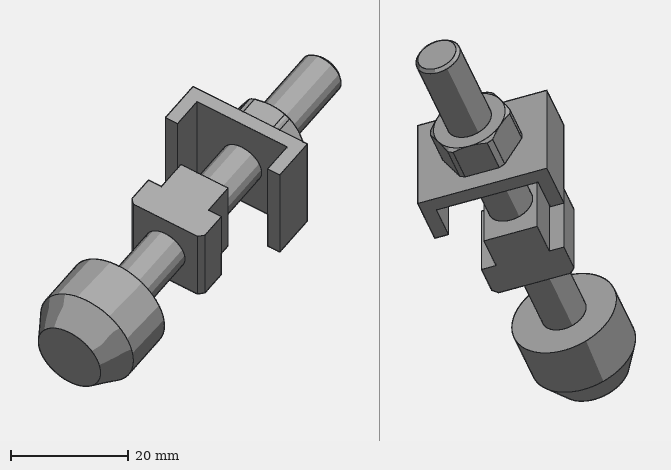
import cadquery as cq
import math

TOTAL_LENGTH = 78.0

ROD_DIAMETER = 8.0
ROD_END_CHAMFER = 0.55
HEAD_DIAMETER = 19.0
HEAD_TIP_DIAMETER = 12.8
HEAD_LENGTH = 15.0
NOSE_ANGLE = 30.0

BLOCK_WIDTH = 15.0
BLOCK_HEIGHT = BLOCK_WIDTH
BLOCK_LENGTH = 12.0
BLOCK_FRONT = 29.5
BLOCK_CHAMFER = 0.9
FLANGE_LENGTH = BLOCK_LENGTH / 2
NECK_WIDTH = 9.7

BRACKET_WIDTH = 23.5
BRACKET_HEIGHT = 20.0
BRACKET_DEPTH = 8.5
BRACKET_WALL = 2.5
BRACKET_FRONT = 47.0
BRACKET_BACK = BRACKET_FRONT + BRACKET_DEPTH

NUT_ACROSS_FLATS = 13.0
NUT_CORNER_DIAMETER = 14.4
NUT_THICKNESS = 6.4
NUT_CHAMFER_ANGLE = 30.0


def disc(diameter, start, length):
    """Cylinder on the Y axis, running from start toward +Y."""
    return cq.Workplane("XZ", origin=(0, start, 0)).circle(diameter / 2).extrude(-length)


def rod_bore():
    return disc(ROD_DIAMETER, 0, TOTAL_LENGTH)


def prism(points, height):
    """Outline in X and Y, extruded symmetrically in Z."""
    return cq.Workplane("XY").polyline(points).close().extrude(height / 2, both=True)


def make_stud():
    rod_radius = ROD_DIAMETER / 2
    head_radius = HEAD_DIAMETER / 2
    tip_radius = HEAD_TIP_DIAMETER / 2
    nose_length = (head_radius - tip_radius) / math.tan(math.radians(NOSE_ANGLE))
    half_profile = [
        (0, 0),
        (tip_radius, 0),
        (head_radius, nose_length),
        (head_radius, HEAD_LENGTH),
        (rod_radius, HEAD_LENGTH),
        (rod_radius, TOTAL_LENGTH - ROD_END_CHAMFER),
        (rod_radius - ROD_END_CHAMFER, TOTAL_LENGTH),
        (0, TOTAL_LENGTH),
    ]
    return cq.Workplane("XY").polyline(half_profile).close().revolve(360, (0, 0), (0, 1))


def make_block():
    half_width = BLOCK_WIDTH / 2
    half_neck = NECK_WIDTH / 2
    shoulder = BLOCK_FRONT + FLANGE_LENGTH
    back = BLOCK_FRONT + BLOCK_LENGTH
    right_side = [
        (half_width - BLOCK_CHAMFER, BLOCK_FRONT),
        (half_width, BLOCK_FRONT + BLOCK_CHAMFER),
        (half_width, shoulder),
        (half_neck, shoulder),
        (half_neck, back),
    ]
    left_side = [(-x, y) for x, y in reversed(right_side)]
    return prism(right_side + left_side, BLOCK_HEIGHT).cut(rod_bore())


def make_bracket():
    outer = BRACKET_WIDTH / 2
    inner = outer - BRACKET_WALL
    web_front = BRACKET_BACK - BRACKET_WALL
    right_side = [
        (inner, web_front),
        (inner, BRACKET_FRONT),
        (outer, BRACKET_FRONT),
        (outer, BRACKET_BACK),
    ]
    left_side = [(-x, y) for x, y in reversed(right_side)]
    return prism(right_side + left_side, BRACKET_HEIGHT).cut(rod_bore())


def make_nut():
    """Hexagon with corners toward +X and -X, turned down at its corners and chamfered at the free end."""
    sharp_corner_diameter = NUT_ACROSS_FLATS / math.cos(math.radians(30))
    hexagon = (
        cq.Workplane("XZ", origin=(0, BRACKET_BACK, 0))
        .polygon(6, sharp_corner_diameter)
        .extrude(-NUT_THICKNESS)
    )
    radial_chamfer = (NUT_CORNER_DIAMETER - NUT_ACROSS_FLATS) / 2
    axial_chamfer = radial_chamfer * math.tan(math.radians(NUT_CHAMFER_ANGLE))
    envelope = (
        disc(NUT_CORNER_DIAMETER, BRACKET_BACK, NUT_THICKNESS)
        .faces(">Y")
        .chamfer(axial_chamfer, radial_chamfer)
    )
    return hexagon.intersect(envelope).cut(rod_bore())


stud = make_stud()
block = make_block()
bracket = make_bracket()
nut = make_nut()

result = cq.Compound.makeCompound([stud.val(), block.val(), bracket.val(), nut.val()])